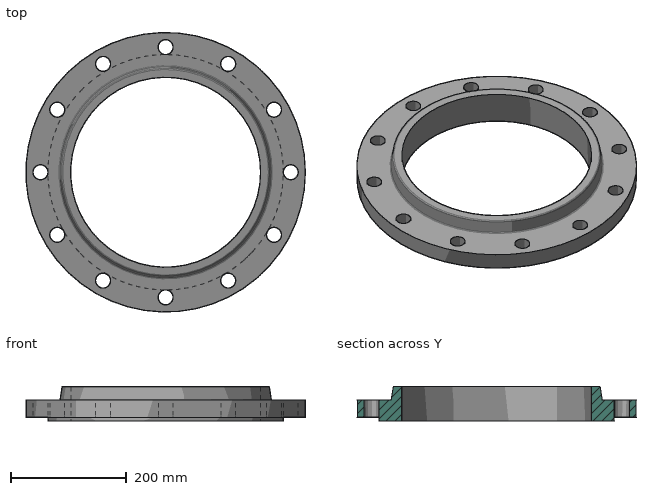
import cadquery as cq

FLANGE_DIAMETER = 482.6
FLANGE_THICKNESS = 30.2
RAISED_FACE_DIAMETER = 406.4
RAISED_FACE_HEIGHT = 6.4
BORE_DIAMETER = 327.2

TOTAL_HEIGHT = 60.2
HUB_BASE_DIAMETER = 365.3
HUB_TOP_DIAMETER = 358.0
HUB_BASE_FILLET = 1.5
HUB_TOP_FILLET = 2.0

BOLT_COUNT = 12
BOLT_CIRCLE_DIAMETER = 431.8
BOLT_HOLE_DIAMETER = 25.4

flange_top = RAISED_FACE_HEIGHT + FLANGE_THICKNESS
bolt_circle_radius = BOLT_CIRCLE_DIAMETER / 2


def make_body():
    """Revolve the half section of raised face, ring and tapered hub around Z."""
    section = [
        (BORE_DIAMETER / 2, 0),
        (RAISED_FACE_DIAMETER / 2, 0),
        (RAISED_FACE_DIAMETER / 2, RAISED_FACE_HEIGHT),
        (FLANGE_DIAMETER / 2, RAISED_FACE_HEIGHT),
        (FLANGE_DIAMETER / 2, flange_top),
        (HUB_BASE_DIAMETER / 2, flange_top),
        (HUB_TOP_DIAMETER / 2, TOTAL_HEIGHT),
        (BORE_DIAMETER / 2, TOTAL_HEIGHT),
    ]
    return cq.Workplane("XZ").polyline(section).close().revolve(360, (0, 0, 0), (0, 1, 0))


def cut_bolt_holes(body):
    """Cut the evenly spaced bolt holes through the ring."""
    return (
        body.faces("<Z").workplane(origin=(0, 0, 0))
        .polarArray(bolt_circle_radius, 0, 360, BOLT_COUNT)
        .circle(BOLT_HOLE_DIAMETER / 2)
        .cutThruAll()
    )


def round_hub_edges(body):
    """Blend the hub into the ring and round its outer top edge."""
    hub_side = body.faces("%CONE")
    base_edge = hub_side.edges("%CIRCLE").edges("<Z")
    body = base_edge.fillet(HUB_BASE_FILLET)
    top_edge = body.faces("%CONE").edges("%CIRCLE").edges(">Z")
    return top_edge.fillet(HUB_TOP_FILLET)


result = cut_bolt_holes(round_hub_edges(make_body()))